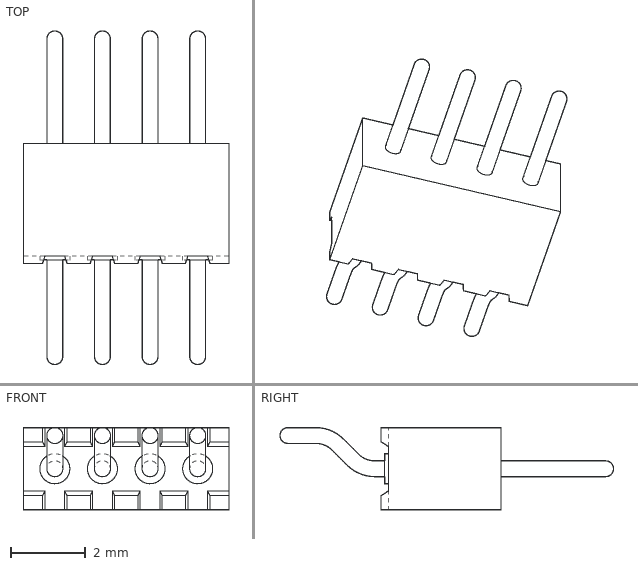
import cadquery as cq
import math

body_width = 5.49
body_depth = 3.2
body_height = 2.2
relief_depth = 0.2
lip_face_height = 0.38
lip_base_height = 0.51
notch_face_width = 0.65
notch_base_width = 0.525

pin_count = 4
pin_pitch = 1.27
pin_diameter = 0.43
collar_diameter = 0.8
collar_thickness = 0.1
overall_length = 8.9
front_reach = 2.7
lead_length = 0.365
bend_radius = 0.82
bend_angle = math.radians(45)

pin_radius = pin_diameter / 2
front_tip_y = -front_reach
back_tip_y = front_tip_y + overall_length
pin_rise = body_height / 2 - pin_radius
pin_positions = [(i - (pin_count - 1) / 2) * pin_pitch for i in range(pin_count)]


def trapezoid(plane, face_width, base_width, length):
    """Prism tapering from face_width to base_width over the relief depth, centred along its length."""
    outline = [
        (-face_width / 2, 0),
        (face_width / 2, 0),
        (base_width / 2, relief_depth),
        (-base_width / 2, relief_depth),
    ]
    return cq.Workplane(plane).polyline(outline).close().extrude(length / 2, both=True)


def make_housing():
    """Block with a full-width channel crossed by a full-height notch at every pin."""
    block = cq.Workplane("XY").box(body_width, body_depth, body_height).translate((0, body_depth / 2, 0))
    channel_plane = cq.Plane(origin=(0, 0, 0), xDir=(0, 0, 1), normal=(-1, 0, 0))
    channel = trapezoid(
        channel_plane,
        body_height - 2 * lip_face_height,
        body_height - 2 * lip_base_height,
        body_width,
    )
    block = block.cut(channel)
    notch = trapezoid("XY", notch_face_width, notch_base_width, body_height)
    for x in pin_positions:
        block = block.cut(notch.translate((x, 0, 0)))
    return block


def make_pin():
    """Round pin with domed ends, raised in front of the housing by two opposite bends."""
    back_y = back_tip_y - pin_radius
    front_y = front_tip_y + pin_radius
    bend_run = bend_radius * math.sin(bend_angle)
    bend_rise = bend_radius * (1 - math.cos(bend_angle))
    half_run = bend_radius * math.sin(bend_angle / 2)
    half_rise = bend_radius * (1 - math.cos(bend_angle / 2))
    ramp_rise = pin_rise - 2 * bend_rise
    ramp_run = ramp_rise / math.tan(bend_angle)

    lower_start = relief_depth - lead_length
    lower_end = lower_start - bend_run
    upper_start = lower_end - ramp_run
    upper_end = upper_start - bend_run

    axis = (
        cq.Workplane("YZ")
        .moveTo(back_y, 0)
        .lineTo(lower_start, 0)
        .threePointArc((lower_start - half_run, half_rise), (lower_end, bend_rise))
        .lineTo(upper_start, pin_rise - bend_rise)
        .threePointArc((upper_end + half_run, pin_rise - half_rise), (upper_end, pin_rise))
        .lineTo(front_y, pin_rise)
    )
    pin = cq.Workplane("XZ", origin=(0, back_y, 0)).circle(pin_radius).sweep(axis)
    dome = cq.Workplane("XY").sphere(pin_radius)
    pin = pin.union(dome.translate((0, back_y, 0)))
    pin = pin.union(dome.translate((0, front_y, pin_rise)))
    collar = (
        cq.Workplane("XZ", origin=(0, relief_depth, 0))
        .circle(collar_diameter / 2)
        .extrude(collar_thickness)
    )
    return pin.union(collar)


result = make_housing()
pin = make_pin()
for x in pin_positions:
    result = result.union(pin.translate((x, 0, 0)))